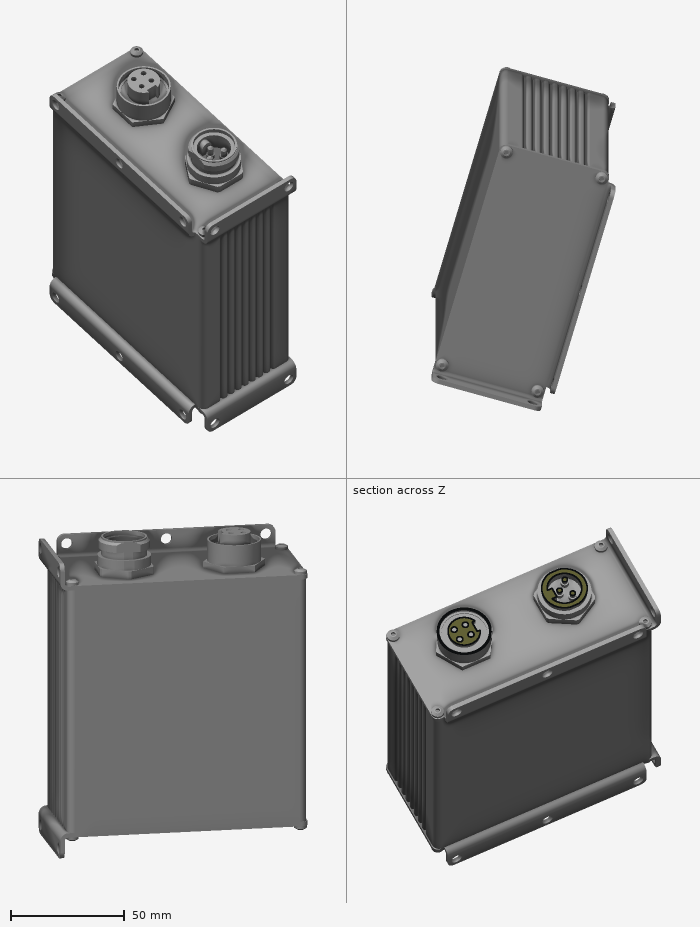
import cadquery as cq
import math

BODY_WIDTH = 107.1
BODY_DEPTH = 50.0
BODY_HEIGHT = 110.0
BODY_CORNER_RADIUS = 3.2

GROOVE_COUNT = 8
GROOVE_PITCH = 4.0
GROOVE_LIP_RADIUS = 1.3
GROOVE_FLOOR_RADIUS = 0.5
GROOVE_SWEEP = math.radians(75)
GROOVE_DEPTH = (GROOVE_LIP_RADIUS + GROOVE_FLOOR_RADIUS) * (1 - math.cos(GROOVE_SWEEP))
GROOVE_HALF_WIDTH = (GROOVE_LIP_RADIUS + GROOVE_FLOOR_RADIUS) * math.sin(GROOVE_SWEEP)

SHEET = 2.0
OVERALL_WIDTH = 111.02
OVERALL_DEPTH = 53.58
OVERALL_HEIGHT = 140.2
PLATE_OVERHANG = 0.5
PLATE_CORNER_RADIUS = 2.8
BEND_RADIUS = 3.6
FLANGE_HEIGHT = 11.9
FLANGE_CORNER_RADIUS = 3.2
FRONT_FLANGE_INSET = 4.76
FRONT_FLANGE_LENGTH = 97.5
MOUNT_HOLE_DIAMETER = 5.0
MOUNT_HOLE_INSET = 4.2

PLATE_LEFT = -BODY_WIDTH / 2 - PLATE_OVERHANG
PLATE_BACK = BODY_DEPTH / 2
PLATE_FRONT = -BODY_DEPTH / 2
FLANGE_OUTER_X = PLATE_LEFT + OVERALL_WIDTH
FLANGE_OUTER_Y = PLATE_BACK - OVERALL_DEPTH
BEND_START_X = FLANGE_OUTER_X - BEND_RADIUS
BEND_START_Y = FLANGE_OUTER_Y + BEND_RADIUS
INNER_FACE_Z = BODY_HEIGHT / 2
OUTER_FACE_Z = INNER_FACE_Z + SHEET
FLANGE_TIP_Z = INNER_FACE_Z + FLANGE_HEIGHT
MOUNT_HOLE_Z = FLANGE_TIP_Z - MOUNT_HOLE_INSET

SCREW_EDGE_X = 3.0
SCREW_SPACING_X = 102.0
SCREW_SPACING_Y = 43.6
SCREW_HEAD_DIAMETER = 5.6
SCREW_TOP_DIAMETER = 3.0
SCREW_RIM_HEIGHT = 1.3
SCREW_HEAD_HEIGHT = 2.1
SCREW_SOCKET_DIAMETER = 2.0
SCREW_SOCKET_DEPTH = 1.2

CONNECTOR_Y = 4.7
NUT_ACROSS_FLATS = 24.0
SHELL_DIAMETER = 23.75

SOCKET_X = PLATE_LEFT + 29.3
SOCKET_NUT_HEIGHT = 3.0
SOCKET_SHELL_HEIGHT = 12.5
SOCKET_MOUTH_DIAMETER = 22.23
SOCKET_MOUTH_DEPTH = 3.6
SOCKET_BORE_DIAMETER = 20.23
SOCKET_BORE_DEPTH = 4.0
SOCKET_CORE_DIAMETER = 14.4
SOCKET_CORE_HEIGHT = 16.0
CORE_KEYWAY_WIDTH = 5.0
CORE_KEYWAY_FLOOR_X = 5.2
CONTACT_HOLE_DIAMETER = 2.5
CONTACT_HOLE_DEPTH = 6.0
CONTACT_HOLE_SPACING = 5.5
CONTACT_HOLE_OFFSET_X = -0.8

PLUG_X = PLATE_LEFT + 78.5
PLUG_NUT_HEIGHT = 3.6
PLUG_NUT_CORNER_DIAMETER = 27.0
PLUG_SHELL_HEIGHT = 8.0
PLUG_SHELL_FLATS = 23.3
PLUG_BARREL_DIAMETER = 20.23
PLUG_HEIGHT = OVERALL_HEIGHT - FLANGE_TIP_Z - OUTER_FACE_Z
PLUG_COLLAR_DIAMETER = 22.6
PLUG_COLLAR_FLATS = 19.8
PLUG_COLLAR_BOTTOM = 11.3
PLUG_COLLAR_TOP = 15.6
PLUG_COLLAR_CHAMFER = 1.0
PLUG_MOUTH_DIAMETER = 18.5
PLUG_MOUTH_DEPTH = 2.0
PLUG_BORE_DIAMETER = 15.0
PLUG_BORE_FLOOR = 6.4
PIN_DIAMETER = 2.6
PIN_TIP_DIAMETER = 1.0
PIN_BASE_DIAMETER = 3.6
PIN_BASE_TOP = 8.5
PIN_TOP = 13.0
PIN_POINTS = [(2.1, 3.9), (2.1, -3.9), (-2.4, 0.0)]
PLUG_KEY_WIDTH = 5.0
PLUG_KEY_REACH = 2.7
PLUG_KEY_TOP = 13.0


def cylinder(diameter, bottom, top):
    """Upright cylinder on the Z axis."""
    return cq.Workplane("XY").workplane(offset=bottom).circle(diameter / 2).extrude(top - bottom)


def hex_nut(height, corner_angle):
    """Hexagonal nut on the Z axis with one corner at the given angle."""
    corner_diameter = NUT_ACROSS_FLATS / math.cos(math.pi / 6)
    nut = cq.Workplane("XY").polygon(6, corner_diameter).extrude(height)
    return nut.rotate((0, 0, 0), (0, 0, 1), corner_angle)


def flat_slab(width_y, height):
    """Wide slab that trims a round body to a given width along Y."""
    return cq.Workplane("XY").box(2 * SHELL_DIAMETER, width_y, height, centered=(True, True, False))


def make_groove():
    """Cutter for one groove in the +X side, centred on Y = 0."""
    side_x = BODY_WIDTH / 2
    floor_x = side_x - GROOVE_DEPTH
    half_sweep = GROOVE_SWEEP / 2
    lip_x = side_x - GROOVE_LIP_RADIUS * (1 - math.cos(half_sweep))
    lip_y = GROOVE_HALF_WIDTH - GROOVE_LIP_RADIUS * math.sin(half_sweep)
    turn_x = side_x - GROOVE_LIP_RADIUS * (1 - math.cos(GROOVE_SWEEP))
    turn_y = GROOVE_FLOOR_RADIUS * math.sin(GROOVE_SWEEP)
    return (
        cq.Workplane("XY", origin=(0, 0, -BODY_HEIGHT / 2))
        .moveTo(side_x, -GROOVE_HALF_WIDTH)
        .threePointArc((lip_x, -lip_y), (turn_x, -turn_y))
        .threePointArc((floor_x, 0), (turn_x, turn_y))
        .threePointArc((lip_x, lip_y), (side_x, GROOVE_HALF_WIDTH))
        .close()
        .extrude(BODY_HEIGHT)
    )


def make_housing():
    housing = cq.Workplane("XY").box(BODY_WIDTH, BODY_DEPTH, BODY_HEIGHT)
    housing = housing.edges("|Z").fillet(BODY_CORNER_RADIUS)
    right_groove = make_groove()
    left_groove = right_groove.mirror("YZ")
    for index in range(GROOVE_COUNT):
        y = (index - (GROOVE_COUNT - 1) / 2) * GROOVE_PITCH
        housing = housing.cut(right_groove.translate((0, y, 0)))
        housing = housing.cut(left_groove.translate((0, y, 0)))
    return housing


def bent_strip(plane, bend_start, outer, start, length):
    """Bent flange profile drawn in (outward, Z), extruded from start along the plane normal."""
    side = math.copysign(1, outer - bend_start)
    inner = outer - side * SHEET
    bend_middle = math.sqrt(0.5)
    inner_radius = BEND_RADIUS - SHEET
    bend_z = INNER_FACE_Z + BEND_RADIUS
    outer_middle = (bend_start + side * BEND_RADIUS * bend_middle, bend_z - BEND_RADIUS * bend_middle)
    inner_middle = (bend_start + side * inner_radius * bend_middle, bend_z - inner_radius * bend_middle)
    return (
        cq.Workplane(plane, origin=start)
        .moveTo(bend_start - side * SHEET, INNER_FACE_Z)
        .lineTo(bend_start, INNER_FACE_Z)
        .threePointArc(outer_middle, (outer, bend_z))
        .lineTo(outer, FLANGE_TIP_Z)
        .lineTo(inner, FLANGE_TIP_Z)
        .lineTo(inner, bend_z)
        .threePointArc(inner_middle, (bend_start, OUTER_FACE_Z))
        .lineTo(bend_start - side * SHEET, OUTER_FACE_Z)
        .close()
        .extrude(length)
    )


def make_front_flange():
    left = PLATE_LEFT + FRONT_FLANGE_INSET
    right = left + FRONT_FLANGE_LENGTH
    flange = bent_strip("YZ", BEND_START_Y, FLANGE_OUTER_Y, (left, 0, 0), right - left)
    flange = flange.faces(">Z").edges("|Y").fillet(FLANGE_CORNER_RADIUS)
    hole_points = [
        (left + MOUNT_HOLE_INSET, MOUNT_HOLE_Z),
        ((left + right) / 2, MOUNT_HOLE_Z),
        (right - MOUNT_HOLE_INSET, MOUNT_HOLE_Z),
    ]
    holes = (
        cq.Workplane("XZ", origin=(0, FLANGE_OUTER_Y + SHEET, 0))
        .pushPoints(hole_points)
        .circle(MOUNT_HOLE_DIAMETER / 2)
        .extrude(SHEET)
    )
    return flange.cut(holes)


def make_side_flange():
    flange = bent_strip("XZ", BEND_START_X, FLANGE_OUTER_X, (0, PLATE_BACK, 0), BODY_DEPTH)
    flange = flange.faces(">Z").edges("|X").fillet(FLANGE_CORNER_RADIUS)
    hole_points = [
        (PLATE_FRONT + MOUNT_HOLE_INSET, MOUNT_HOLE_Z),
        (PLATE_BACK - MOUNT_HOLE_INSET, MOUNT_HOLE_Z),
    ]
    holes = (
        cq.Workplane("YZ", origin=(FLANGE_OUTER_X - SHEET, 0, 0))
        .pushPoints(hole_points)
        .circle(MOUNT_HOLE_DIAMETER / 2)
        .extrude(SHEET)
    )
    return flange.cut(holes)


def make_screw_head():
    """Screw head with a conical crown and a blind round socket, standing on Z = 0."""
    head_radius = SCREW_HEAD_DIAMETER / 2
    top_radius = SCREW_TOP_DIAMETER / 2
    head = (
        cq.Workplane("XZ")
        .lineTo(head_radius, 0)
        .lineTo(head_radius, SCREW_RIM_HEIGHT)
        .lineTo(top_radius, SCREW_HEAD_HEIGHT)
        .lineTo(0, SCREW_HEAD_HEIGHT)
        .close()
        .revolve(360, (0, 0, 0), (0, 1, 0))
    )
    socket_floor = SCREW_HEAD_HEIGHT - SCREW_SOCKET_DEPTH
    return head.cut(cylinder(SCREW_SOCKET_DIAMETER, socket_floor, SCREW_HEAD_HEIGHT))


def make_end_plate():
    """Top end plate with its flanges and corner screws."""
    plate = (
        cq.Workplane("XY", origin=(PLATE_LEFT, PLATE_FRONT, INNER_FACE_Z))
        .box(BEND_START_X - PLATE_LEFT, BODY_DEPTH, SHEET, centered=False)
        .edges("|Z and <X")
        .fillet(PLATE_CORNER_RADIUS)
    )
    plate = plate.union(make_front_flange()).union(make_side_flange())
    screw_head = make_screw_head()
    left_screw_x = PLATE_LEFT + SCREW_EDGE_X
    for x in (left_screw_x, left_screw_x + SCREW_SPACING_X):
        for y in (-SCREW_SPACING_Y / 2, SCREW_SPACING_Y / 2):
            plate = plate.union(screw_head.translate((x, y, OUTER_FACE_Z)))
    return plate


def make_socket_connector():
    """Four-hole connector: hex nut, hollow shell and keyed core."""
    bore_floor = SOCKET_SHELL_HEIGHT - SOCKET_BORE_DEPTH
    mouth_floor = SOCKET_SHELL_HEIGHT - SOCKET_MOUTH_DEPTH
    shell = cylinder(SHELL_DIAMETER, 0, SOCKET_SHELL_HEIGHT)
    shell = shell.cut(cylinder(SOCKET_BORE_DIAMETER, bore_floor, SOCKET_SHELL_HEIGHT))
    shell = shell.cut(cylinder(SOCKET_MOUTH_DIAMETER, mouth_floor, SOCKET_SHELL_HEIGHT))

    core = cylinder(SOCKET_CORE_DIAMETER, 0, SOCKET_CORE_HEIGHT)
    keyway = cq.Workplane("XY", origin=(CORE_KEYWAY_FLOOR_X, 0, bore_floor)).box(
        SOCKET_CORE_DIAMETER / 2, CORE_KEYWAY_WIDTH, SOCKET_CORE_HEIGHT, centered=(False, True, False)
    )
    contact_holes = (
        cq.Workplane("XY", origin=(CONTACT_HOLE_OFFSET_X, 0, SOCKET_CORE_HEIGHT))
        .rarray(CONTACT_HOLE_SPACING, CONTACT_HOLE_SPACING, 2, 2)
        .circle(CONTACT_HOLE_DIAMETER / 2)
        .extrude(-CONTACT_HOLE_DEPTH)
    )
    core = core.cut(keyway).cut(contact_holes)
    return hex_nut(SOCKET_NUT_HEIGHT, 0).union(shell).union(core)


def make_pin():
    """Contact pin with a chamfered tip and a thicker base."""
    pin = cylinder(PIN_DIAMETER, PLUG_BORE_FLOOR, PIN_TOP)
    pin = pin.faces(">Z").chamfer((PIN_DIAMETER - PIN_TIP_DIAMETER) / 2)
    return pin.union(cylinder(PIN_BASE_DIAMETER, PLUG_BORE_FLOOR, PIN_BASE_TOP))


def make_plug_key():
    """Round-topped key on the -X side of the plug bore."""
    key_radius = PLUG_KEY_WIDTH / 2
    shoulder = PLUG_KEY_TOP - key_radius
    return (
        cq.Workplane("YZ", origin=(-PLUG_BORE_DIAMETER / 2, 0, 0))
        .moveTo(-key_radius, PLUG_BORE_FLOOR)
        .lineTo(key_radius, PLUG_BORE_FLOOR)
        .lineTo(key_radius, shoulder)
        .threePointArc((0, PLUG_KEY_TOP), (-key_radius, shoulder))
        .close()
        .extrude(PLUG_KEY_REACH)
    )


def make_plug_connector():
    """Three-pin connector: hex nut, flatted shell, flatted collar and hollow barrel."""
    nut = hex_nut(PLUG_NUT_HEIGHT, 30)
    nut = nut.intersect(cylinder(PLUG_NUT_CORNER_DIAMETER, 0, PLUG_NUT_HEIGHT))
    shell = cylinder(SHELL_DIAMETER, 0, PLUG_SHELL_HEIGHT)
    shell = shell.intersect(flat_slab(PLUG_SHELL_FLATS, PLUG_SHELL_HEIGHT))
    collar = cylinder(PLUG_COLLAR_DIAMETER, PLUG_COLLAR_BOTTOM, PLUG_COLLAR_TOP)
    collar = collar.faces(">Z").chamfer(PLUG_COLLAR_CHAMFER)
    barrel = cylinder(PLUG_BARREL_DIAMETER, 0, PLUG_HEIGHT).union(collar)
    barrel = barrel.intersect(flat_slab(PLUG_COLLAR_FLATS, PLUG_HEIGHT))

    plug = nut.union(shell).union(barrel)
    plug = plug.cut(cylinder(PLUG_MOUTH_DIAMETER, PLUG_HEIGHT - PLUG_MOUTH_DEPTH, PLUG_HEIGHT))
    plug = plug.cut(cylinder(PLUG_BORE_DIAMETER, PLUG_BORE_FLOOR, PLUG_HEIGHT))
    plug = plug.union(make_plug_key())
    pin = make_pin()
    for x, y in PIN_POINTS:
        plug = plug.union(pin.translate((x, y, 0)))
    return plug


end_plate = make_end_plate()
result = (
    make_housing()
    .union(end_plate)
    .union(end_plate.mirror("XY"))
    .union(make_socket_connector().translate((SOCKET_X, CONNECTOR_Y, OUTER_FACE_Z)))
    .union(make_plug_connector().translate((PLUG_X, CONNECTOR_Y, OUTER_FACE_Z)))
)